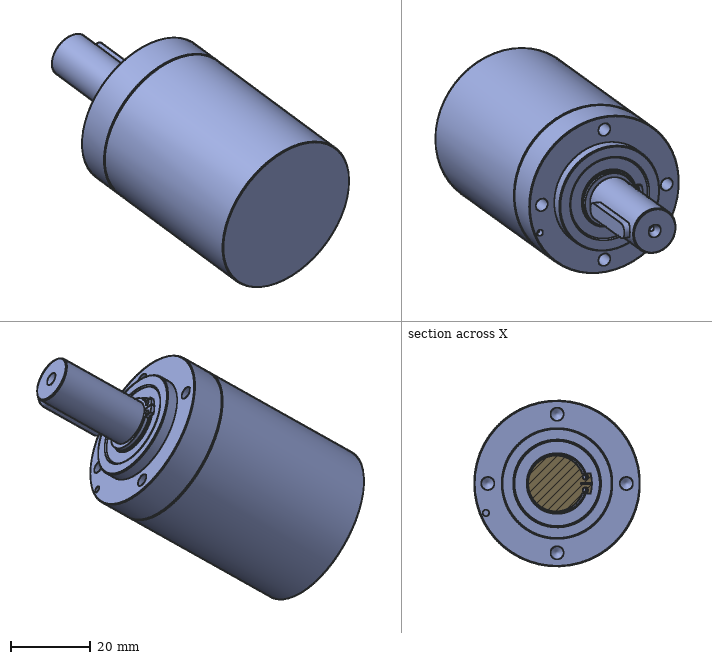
import cadquery as cq
import math

overall_length = 85.0
shaft_end_x = -overall_length / 2
body_end_x = overall_length / 2
clip_x = shaft_end_x + 25.4
pilot_x = shaft_end_x + 26.4
flange_x = shaft_end_x + 29.6
seam_x = shaft_end_x + 38.6

body_diameter = 42.0
pilot_diameter = 28.05
shaft_diameter = 12.0
body_chamfer = 0.2
edge_chamfer = 0.25

recess_mouth_diameter = 22.3
recess_floor_diameter = 21.5
land_base_diameter = 15.4
land_top_diameter = 14.9
recess_depth = 0.3

clip_diameter = 14.2
clip_offset = 0.25
clip_root_depth = 0.3
clip_thickness = pilot_x - clip_x
lug_reach = 8.8
lug_width = 5.1
lug_root = 5.95
lug_hole_diameter = 1.3
lug_hole_offset = 7.1
lug_hole_spacing = 3.3
clip_gap = 0.2

key_length = 20.0
key_width = 4.0
key_top = 7.6
key_bottom = 3.6
key_start_x = shaft_end_x + 1.95

drill_point_angle = 118.0
mount_hole_diameter = 3.3
mount_hole_circle = 35.0
mount_hole_depth = 8.0
mount_hole_count = 4
pin_hole_diameter = 1.6
pin_hole_radius = 19.5
pin_hole_angle = -22.5
pin_hole_depth = 2.0
centre_hole_diameter = 3.4
centre_cone_angle = 60.0
centre_drill_diameter = 1.3
centre_drill_depth = 3.4


def face_plane(x):
    """Plane at station x, facing +X, with local x along Y and local y along Z."""
    return cq.Plane(origin=(x, 0, 0), xDir=(0, 1, 0), normal=(1, 0, 0))


def disc(x, diameter, length):
    return cq.Workplane(face_plane(x)).circle(diameter / 2).extrude(length)


def cone(x, diameter, point_angle):
    """Cone with its base at x and its point towards +X."""
    radius = diameter / 2
    height = radius / math.tan(math.radians(point_angle / 2))
    return cq.Workplane(cq.Solid.makeCone(radius, 0, height, cq.Vector(x, 0, 0), cq.Vector(1, 0, 0)))


def drilled_hole(x, diameter, depth, y=0.0, z=0.0):
    """Blind hole along +X with a drill point at its bottom."""
    bore = disc(x, diameter, depth)
    return bore.union(cone(x + depth, diameter, drill_point_angle)).translate((0, y, z))


def make_face_recess():
    """Annular recess of the pilot face, revolved about the X axis."""
    floor_x = pilot_x + recess_depth
    return (
        cq.Workplane("XY")
        .moveTo(pilot_x, land_top_diameter / 2)
        .lineTo(floor_x, land_base_diameter / 2)
        .lineTo(floor_x, recess_floor_diameter / 2)
        .lineTo(pilot_x, recess_mouth_diameter / 2)
        .close()
        .revolve(360, (0, 0, 0), (1, 0, 0))
    )


def make_body_section(start_x, end_x):
    """Length of the body with both rims chamfered; two in a row leave a V-groove between them."""
    return disc(start_x, body_diameter, end_x - start_x).faces("<X or >X").chamfer(body_chamfer)


def make_housing():
    flange = make_body_section(flange_x, seam_x)
    barrel = make_body_section(seam_x, body_end_x)
    pilot = disc(pilot_x, pilot_diameter, flange_x - pilot_x).faces("<X").chamfer(edge_chamfer)
    return flange.union(barrel).union(pilot).cut(make_face_recess())


def make_shaft():
    return disc(shaft_end_x, shaft_diameter, flange_x - shaft_end_x).faces("<X").chamfer(edge_chamfer)


def make_key():
    return (
        cq.Workplane("XZ", origin=(key_start_x + key_length / 2, key_bottom, 0))
        .slot2D(key_length, key_width)
        .extrude(-(key_top - key_bottom))
    )


def make_clip():
    """Split ring around the shaft with two pierced lugs on the -Y side."""
    plane = face_plane(clip_x)
    band = disc(clip_x, clip_diameter, clip_thickness).translate((0, clip_offset, 0))
    lugs = (
        cq.Workplane(plane)
        .center(-(lug_root + lug_reach) / 2, 0)
        .rect(lug_reach - lug_root, lug_width)
        .extrude(clip_thickness)
        .intersect(disc(clip_x, 2 * lug_reach, clip_thickness))
    )
    bore = disc(clip_x, shaft_diameter - 2 * clip_root_depth, clip_thickness)
    gap = (
        cq.Workplane(plane)
        .center(-(shaft_diameter / 2 + lug_reach) / 2, 0)
        .rect(lug_reach - shaft_diameter / 2, clip_gap)
        .extrude(clip_thickness)
    )
    lug_holes = (
        cq.Workplane(plane)
        .pushPoints([(-lug_hole_offset, side * lug_hole_spacing / 2) for side in (-1, 1)])
        .circle(lug_hole_diameter / 2)
        .extrude(clip_thickness)
    )
    return band.union(lugs).cut(bore).cut(gap).cut(lug_holes)


def cut_flange_holes(part):
    for index in range(mount_hole_count):
        angle = 2 * math.pi * index / mount_hole_count
        y = mount_hole_circle / 2 * math.cos(angle)
        z = mount_hole_circle / 2 * math.sin(angle)
        part = part.cut(drilled_hole(flange_x, mount_hole_diameter, mount_hole_depth, y, z))
    pin_angle = math.radians(pin_hole_angle)
    pin_y = pin_hole_radius * math.cos(pin_angle)
    pin_z = pin_hole_radius * math.sin(pin_angle)
    return part.cut(disc(flange_x, pin_hole_diameter, pin_hole_depth).translate((0, pin_y, pin_z)))


def cut_centre_hole(part):
    countersink = cone(shaft_end_x, centre_hole_diameter, centre_cone_angle)
    drill = drilled_hole(shaft_end_x, centre_drill_diameter, centre_drill_depth)
    return part.cut(countersink).cut(drill)


housing = cut_flange_holes(make_housing())
shaft = cut_centre_hole(make_shaft().union(make_key()))
result = housing.union(shaft).union(make_clip())